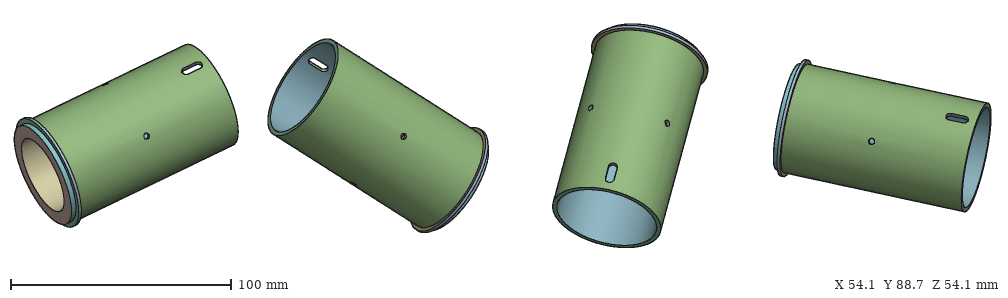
import cadquery as cq
import math

length = 88.7
body_diameter = 50.6
flange_diameter = 54.1
lip_diameter = 49.3
bore_diameter = 36.55
counterbore_diameter = 46.6
counterbore_depth = 62.1

lip_length = 2.4
flange_thickness = 1.4

slot_width = 4.0
slot_length = 10.4
slot_rear_gap = 3.8

radial_hole_diameter = 2.75
radial_hole_angles = (45, 135, 225, 315)

front_y = -length / 2
rear_y = length / 2

def cylinder_along_y(diameter, start_y, end_y):
    """Solid cylinder on the sleeve axis between two Y positions."""
    plane = cq.Plane(origin=(0, start_y, 0), xDir=(1, 0, 0), normal=(0, 1, 0))
    return cq.Workplane(plane).circle(diameter / 2).extrude(end_y - start_y)

def radial_hole(angle):
    """Cutter from the axis outward, at mid-length, angle measured from +X toward +Z."""
    direction = (math.cos(math.radians(angle)), 0, math.sin(math.radians(angle)))
    plane = cq.Plane(origin=(0, 0, 0), xDir=(0, 1, 0), normal=direction)
    return cq.Workplane(plane).circle(radial_hole_diameter / 2).extrude(body_diameter)

def top_slot():
    """Rounded slot cutter through the top wall, lengthwise along Y near the rear."""
    center_y = rear_y - slot_rear_gap - slot_length / 2
    return (
        cq.Workplane("XY")
        .center(0, center_y)
        .slot2D(slot_length, slot_width, 90)
        .extrude(body_diameter)
    )

flange_front_y = front_y + lip_length
flange_rear_y = flange_front_y + flange_thickness
result = cylinder_along_y(lip_diameter, front_y, flange_front_y)
result = result.union(cylinder_along_y(flange_diameter, flange_front_y, flange_rear_y))
result = result.union(cylinder_along_y(body_diameter, flange_rear_y, rear_y))

result = result.cut(cylinder_along_y(bore_diameter, front_y, rear_y))
result = result.cut(cylinder_along_y(counterbore_diameter, rear_y - counterbore_depth, rear_y))

result = result.cut(top_slot())
for hole_angle in radial_hole_angles:
    result = result.cut(radial_hole(hole_angle))